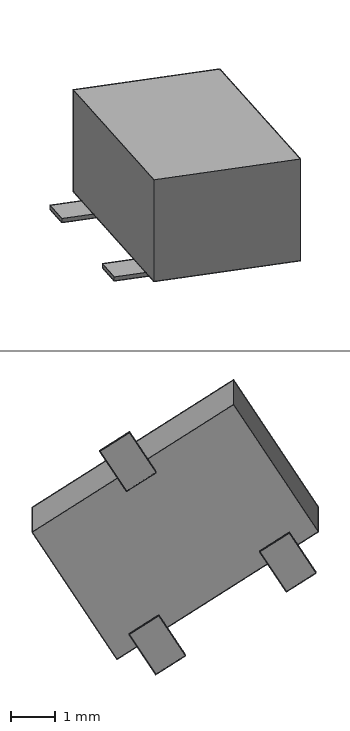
import cadquery as cq

overall_depth = 5.0
overall_height = 2.6

lead_width = 0.8
lead_length = 1.1
lead_thickness = 0.1
front_lead_offset = 1.75

housing_width = 5.4
housing_depth = 3.5
housing_height = overall_height - lead_thickness

lead_center_y = (overall_depth - lead_length) / 2
lead_centers = [
    (-front_lead_offset, -lead_center_y),
    (front_lead_offset, -lead_center_y),
    (0, lead_center_y),
]


def make_housing():
    """Block whose underside lies on top of the leads."""
    return (
        cq.Workplane("XY")
        .box(housing_width, housing_depth, housing_height, centered=(True, True, False))
        .translate((0, 0, lead_thickness))
    )


def make_lead(center_x, center_y):
    """Flat strip with its underside at Z = 0."""
    return (
        cq.Workplane("XY")
        .box(lead_width, lead_length, lead_thickness, centered=(True, True, False))
        .translate((center_x, center_y, 0))
    )


housing = make_housing()
leads = [make_lead(x, y) for x, y in lead_centers]

result = cq.Compound.makeCompound([housing.val(), *[lead.val() for lead in leads]])